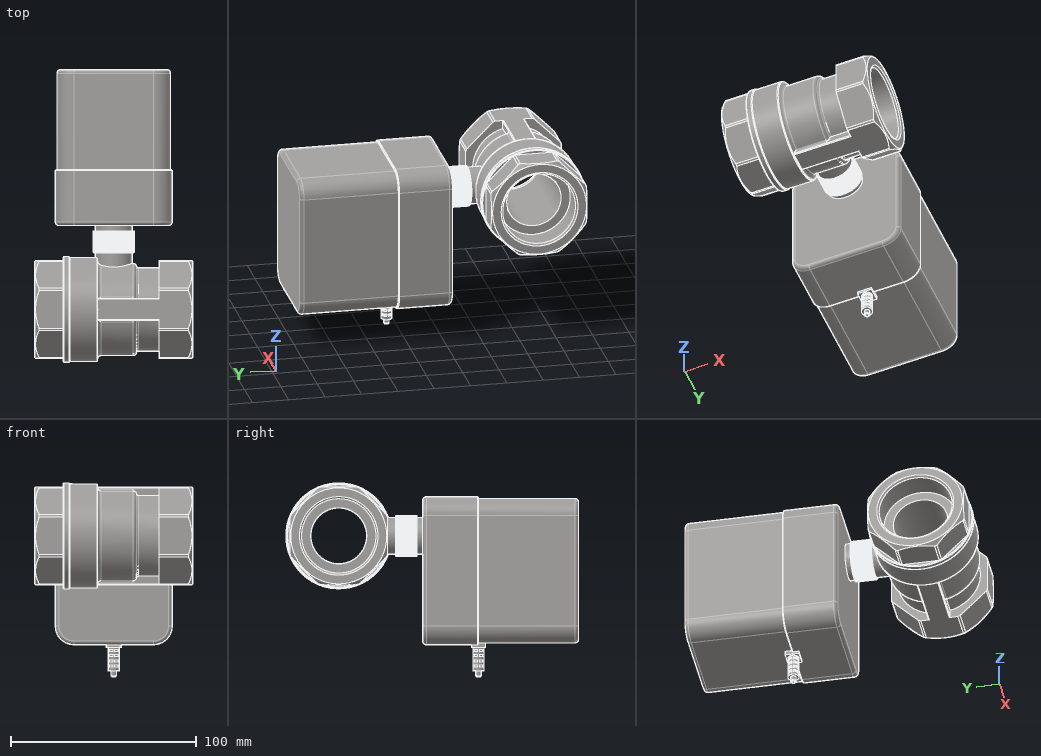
import cadquery as cq
import math


valve_length = 85.0
octagon_sides = 8
octagon_across_flats = 52.6
corner_diameter = 56.4
end_face_diameter = 51.7
flange_start = -27.2
flange_end = -23.6
flange_diameter = 57.0
shell_end = -8.7
shell_diameter = 56.0
edge_break = 0.5
barrel_diameter = 49.8
barrel_root_fillet = 1.9
barrel_end = 10.4
shoulder_length = 2.8
shoulder_radius = 1.9
throat_diameter = 45.0
end_octagon_start = 24.4
rib_width = 12.0
rib_root_fillet = 1.0

bore_diameter = 30.0
socket_diameter = 40.0
socket_depth = 14.6
socket_chamfer = 1.1

neck_diameter = 20.0
nut_start = 30.4
nut_length = 11.7
nut_diameter = 22.0
nut_chamfer = 0.5
knurl_count = 120
knurl_depth = 0.5

housing_front = 45.0
base_depth = 30.1
housing_back = 129.0
base_width = 63.0
base_height = 79.7
housing_center_z = -18.7
base_corner_radius = 10.1
cover_inset = 1.0
housing_edge_fillet = 2.0

collar_width_x = 8.2
collar_width_y = 7.5
collar_bottom = -60.0
sleeve_diameter = 6.0
sleeve_bottom = -72.6
slot_count = 4
slot_height = 1.1
slot_pitch = 2.8
first_slot_z = -61.6
slot_floor_diameter = 4.4
slot_web_width = 1.0
cable_diameter = 3.0
cable_bottom = -75.3
wire_diameter = 2.0
wire_bottom = -75.9

half_length = valve_length / 2
nut_end = nut_start + nut_length
step_y = housing_front + base_depth


def cylinder_x(diameter, start, end):
    """Cylinder along X between two X positions."""
    return cq.Workplane("YZ", origin=(start, 0, 0)).circle(diameter / 2).extrude(end - start)


def cylinder_y(diameter, start, end):
    """Cylinder along Y between two Y positions."""
    return cq.Workplane("XZ", origin=(0, start, 0)).circle(diameter / 2).extrude(start - end)


def cylinder_z(diameter, top, bottom):
    """Cylinder along Z below the housing, on the axis of the strain relief."""
    return cq.Workplane("XY", origin=(0, step_y, bottom)).circle(diameter / 2).extrude(top - bottom)


def wrench_octagon(start, end, outer_face):
    """Octagon with trimmed corners, chamfered at its outer face."""
    octagon = (
        cq.Workplane("YZ", origin=(start, 0, 0))
        .transformed(rotate=(0, 0, 180 / octagon_sides))
        .polygon(octagon_sides, octagon_across_flats / math.cos(math.pi / octagon_sides))
        .extrude(end - start)
    )
    envelope = (
        cylinder_x(corner_diameter, start, end)
        .faces(outer_face)
        .chamfer((corner_diameter - end_face_diameter) / 2)
    )
    return octagon.intersect(envelope)


def barrel_with_ribs():
    """Plain barrel with the flat ribs above and below it that run on to the octagon."""
    rib_length = end_octagon_start - shell_end
    ribs = (
        cq.Workplane("XY")
        .box(rib_length, rib_width, octagon_across_flats)
        .edges("|X")
        .chamfer(edge_break)
        .translate((shell_end + rib_length / 2, 0, 0))
    )
    barrel = cylinder_x(barrel_diameter, shell_end, barrel_end)
    rib_root_z = math.sqrt((barrel_diameter / 2) ** 2 - (rib_width / 2) ** 2)
    body = barrel.union(ribs)
    for side in (-1, 1):
        for level in (-1, 1):
            root = ((shell_end + barrel_end) / 2, side * rib_width / 2, level * rib_root_z)
            body = body.edges(cq.selectors.NearestToPointSelector(root)).fillet(rib_root_fillet)
    return body


def turned_core():
    """Round core from the shell to the octagon, with a concave root and an S-shaped shoulder."""
    barrel_radius = barrel_diameter / 2
    throat_radius = throat_diameter / 2
    drop = barrel_radius - throat_radius
    shoulder_end = barrel_end + shoulder_length
    radius_sum = (shoulder_length**2 + drop**2) / (2 * drop)
    share = shoulder_radius / radius_sum
    return (
        cq.Workplane("XY")
        .moveTo(shell_end, 0)
        .lineTo(shell_end, barrel_radius + barrel_root_fillet)
        .radiusArc((shell_end + barrel_root_fillet, barrel_radius), -barrel_root_fillet)
        .lineTo(barrel_end, barrel_radius)
        .tangentArcPoint((barrel_end + share * shoulder_length, barrel_radius - share * drop), relative=False)
        .tangentArcPoint((shoulder_end, throat_radius), relative=False)
        .lineTo(end_octagon_start, throat_radius)
        .lineTo(end_octagon_start, 0)
        .close()
        .revolve(360, (0, 0, 0), (1, 0, 0))
    )


def valve_outside():
    flange = cylinder_x(flange_diameter, flange_start, flange_end).edges().chamfer(edge_break)
    shell = cylinder_x(shell_diameter, flange_end, shell_end).faces(">X").chamfer(edge_break)
    return (
        wrench_octagon(-half_length, flange_start, "<X")
        .union(flange)
        .union(shell)
        .union(barrel_with_ribs())
        .union(turned_core())
        .union(wrench_octagon(end_octagon_start, half_length, ">X"))
        .union(cylinder_y(neck_diameter, 0, nut_start))
    )


def pipe_socket():
    """Cutter for the socket at the -X end, with its chamfered mouth."""
    mouth_radius = socket_diameter / 2 + socket_chamfer
    return (
        cq.Workplane("XY")
        .moveTo(-half_length, 0)
        .lineTo(-half_length, mouth_radius)
        .lineTo(-half_length + socket_chamfer, socket_diameter / 2)
        .lineTo(-half_length + socket_depth, socket_diameter / 2)
        .lineTo(-half_length + socket_depth, 0)
        .close()
        .revolve(360, (0, 0, 0), (1, 0, 0))
    )


def make_valve():
    socket = pipe_socket()
    return (
        valve_outside()
        .cut(cylinder_x(bore_diameter, -half_length, half_length))
        .cut(socket)
        .cut(socket.mirror("YZ"))
    )


def housing_block(inset, start, end):
    """Round-cornered block along Y, inset from the outline of the base."""
    return (
        cq.Workplane("XY")
        .box(base_width - 2 * inset, end - start, base_height - 2 * inset)
        .edges("|Y")
        .fillet(base_corner_radius - inset)
        .translate((0, (start + end) / 2, housing_center_z))
    )


def knurled_nut():
    root_radius = nut_diameter / 2 - knurl_depth
    points = []
    for i in range(2 * knurl_count):
        radius = nut_diameter / 2 if i % 2 == 0 else root_radius
        angle = math.pi * i / knurl_count
        points.append((radius * math.cos(angle), radius * math.sin(angle)))
    knurl = cq.Workplane("XZ", origin=(0, nut_start, 0)).polyline(points).close().extrude(-nut_length)
    envelope = cylinder_y(nut_diameter, nut_start, nut_end).faces("<Y").chamfer(nut_chamfer)
    return knurl.intersect(envelope)


def slot_ring(z):
    """Cutter for one ring of four slots, leaving webs at +-X and +-Y."""
    top = z + slot_height / 2
    bottom = z - slot_height / 2
    webs = (
        cq.Workplane("XY", origin=(0, step_y, z))
        .box(sleeve_diameter, slot_web_width, slot_height)
        .union(cq.Workplane("XY", origin=(0, step_y, z)).box(slot_web_width, sleeve_diameter, slot_height))
    )
    ring = cylinder_z(sleeve_diameter, top, bottom).cut(cylinder_z(slot_floor_diameter, top, bottom))
    return ring.cut(webs)


def strain_relief():
    collar_height = housing_center_z - collar_bottom
    collar = cq.Workplane("XY", origin=(0, step_y, collar_bottom + collar_height / 2)).box(
        collar_width_x, collar_width_y, collar_height
    )
    sleeve = cylinder_z(sleeve_diameter, collar_bottom, sleeve_bottom)
    for i in range(slot_count):
        sleeve = sleeve.cut(slot_ring(first_slot_z - i * slot_pitch))
    return (
        collar.union(sleeve)
        .union(cylinder_z(cable_diameter, sleeve_bottom, cable_bottom))
        .union(cylinder_z(wire_diameter, cable_bottom, wire_bottom))
    )


def make_actuator():
    base = (
        housing_block(0, housing_front, step_y)
        .faces("<Y")
        .edges()
        .fillet(housing_edge_fillet)
        .faces(">Y")
        .chamfer(edge_break)
    )
    cover = housing_block(cover_inset, step_y, housing_back).faces(">Y").edges().fillet(housing_edge_fillet)
    return (
        base.union(cover)
        .union(cylinder_y(neck_diameter, nut_end, housing_front))
        .union(knurled_nut())
        .union(strain_relief())
    )


valve = make_valve()
actuator = make_actuator()

result = cq.Compound.makeCompound([valve.solids().val(), actuator.solids().val()])